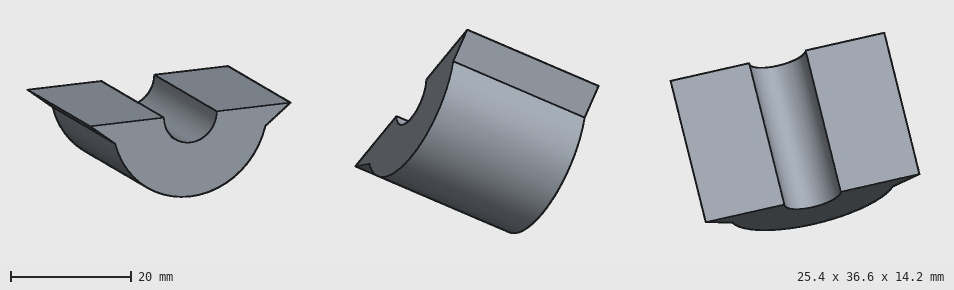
import cadquery as cq
import math

length = 25.4
top_width = 36.57
body_radius = 14.15
groove_radius = 4.83
wing_depth = 3.5

wing_root = math.sqrt(body_radius**2 - wing_depth**2)
wing_tip = top_width / 2

section = (
    cq.Workplane("YZ", origin=(-length / 2, 0, 0))
    .moveTo(-wing_tip, 0)
    .lineTo(-wing_root, -wing_depth)
    .threePointArc((0, -body_radius), (wing_root, -wing_depth))
    .lineTo(wing_tip, 0)
    .lineTo(groove_radius, 0)
    .threePointArc((0, -groove_radius), (-groove_radius, 0))
    .close()
)

result = section.extrude(length)